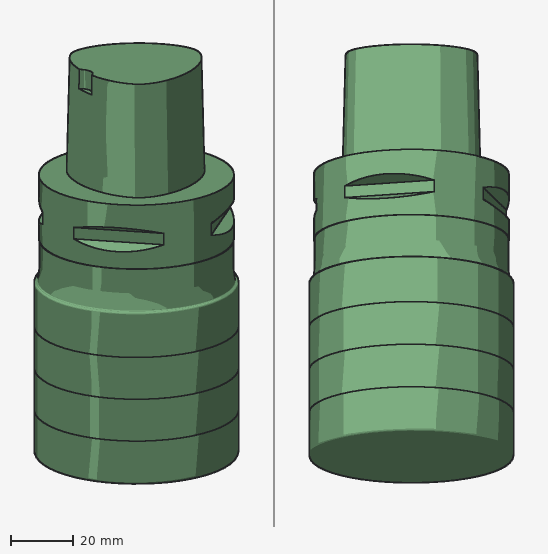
import cadquery as cq
import math

total_height = 132.6
flange_top = 94.4
flange_bottom = 72.7
shoulder_height = 58.5
ring_height = 14.2
base_ring_height = 14.9
middle_ring_count = 2
collar_bottom = base_ring_height + middle_ring_count * ring_height

flange_radius = 63.0 / 2
notch_depth = 3.7
notch_floor_height = 3.8
notch_wall_angle = 30.0
notch_center_height = 82.5
notch_angles = (45, 135, 225, 315)

shank_mean_radius = 22.3
lobe_eccentricity = 1.6
shank_taper = 1 / 40
lobe_half_span = 36.0
points_per_face = 13

key_radius = 4.5
key_apex = 17.6
key_depth = 6.5

neck_radius = 31.3
neck_foot_radius = 31.8
neck_flare_height = 6.0
neck_fillet = 0.4
ring_radius = 33.0
shoulder_round = 0.7
base_round = 1.0


def lobe_point(angle, mean_radius, height):
    """Point on the three-lobed curve; parameter 0 is the middle of the flat on -Y."""
    t = math.radians(angle)
    e = lobe_eccentricity
    across = mean_radius * math.sin(t) + 2 * e * math.sin(2 * t) + e * math.sin(4 * t)
    along = mean_radius * math.cos(t) - 2 * e * math.cos(2 * t) + e * math.cos(4 * t)
    return cq.Vector(across, -along, height)


def lobed_wire(mean_radius, height):
    """Closed outline of three lobe faces alternating with three flatter faces."""
    edges = []
    for lobe_tip in (60, 180, 300):
        lobe_start = lobe_tip - lobe_half_span
        lobe_end = lobe_tip + lobe_half_span
        next_lobe_start = lobe_start + 120
        for start, end in ((lobe_start, lobe_end), (lobe_end, next_lobe_start)):
            step = (end - start) / (points_per_face - 1)
            points = [lobe_point(start + i * step, mean_radius, height) for i in range(points_per_face)]
            edges.append(cq.Edge.makeSpline(points))
    return cq.Wire.assembleEdges(edges)


def make_shank():
    end_radius = shank_mean_radius - shank_taper * (total_height - flange_top)
    base = lobed_wire(shank_mean_radius, flange_top)
    end = lobed_wire(end_radius, total_height)
    shank = cq.Workplane(obj=cq.Solid.makeLoft([base, end], True))
    key = (
        cq.Workplane("XY", origin=(0, 0, total_height - key_depth))
        .center(0, -key_apex - key_radius)
        .circle(key_radius)
        .extrude(key_depth)
    )
    return shank.cut(key)


def make_gripper_notch(angle):
    """Straight cutter with a flat floor and sloping walls, set across the rim."""
    floor = flange_radius - notch_depth
    half_floor = notch_floor_height / 2
    cutter_depth = 2 * notch_depth
    half_mouth = half_floor + cutter_depth * math.tan(math.radians(notch_wall_angle))
    return (
        cq.Workplane("XZ", origin=(0, 0, notch_center_height))
        .moveTo(floor, -half_floor)
        .lineTo(floor + cutter_depth, -half_mouth)
        .lineTo(floor + cutter_depth, half_mouth)
        .lineTo(floor, half_floor)
        .close()
        .extrude(flange_radius, both=True)
        .rotate((0, 0, 0), (0, 0, 1), angle)
    )


def make_holder():
    flange = (
        cq.Workplane("XY", origin=(0, 0, flange_bottom))
        .circle(flange_radius)
        .extrude(flange_top - flange_bottom)
    )
    for angle in notch_angles:
        flange = flange.cut(make_gripper_notch(angle))
    return flange.union(make_shank())


def make_collar():
    """Ring section with a rounded shoulder, blending into a neck that flares slightly at its foot."""
    flare_width = neck_foot_radius - neck_radius
    flare_height = neck_flare_height - neck_fillet
    flare_radius = (flare_height**2 + flare_width**2) / (2 * flare_width)
    fillet_top = shoulder_height + neck_fillet
    flare_top = shoulder_height + neck_flare_height
    return (
        cq.Workplane("XZ")
        .moveTo(0, collar_bottom)
        .lineTo(ring_radius, collar_bottom)
        .lineTo(ring_radius, shoulder_height - shoulder_round)
        .radiusArc((ring_radius - shoulder_round, shoulder_height), -shoulder_round)
        .lineTo(neck_foot_radius + neck_fillet, shoulder_height)
        .radiusArc((neck_foot_radius, fillet_top), neck_fillet)
        .radiusArc((neck_radius, flare_top), flare_radius)
        .lineTo(neck_radius, flange_bottom)
        .lineTo(0, flange_bottom)
        .close()
        .revolve(360, (0, 0, 0), (0, 1, 0))
    )


def make_ring(bottom, height):
    return cq.Workplane("XY", origin=(0, 0, bottom)).circle(ring_radius).extrude(height)


def make_base_ring():
    """Lowest ring, with a rounded bottom edge."""
    return make_ring(0, base_ring_height).faces("<Z").edges().fillet(base_round)


holder = make_holder()
collar = make_collar()
middle_rings = []
for index in range(middle_ring_count):
    ring_bottom = base_ring_height + index * ring_height
    middle_rings.append(make_ring(ring_bottom, ring_height))
base_ring = make_base_ring()

result = cq.Compound.makeCompound(
    [holder.val(), collar.val(), *[ring.val() for ring in middle_rings], base_ring.val()]
)